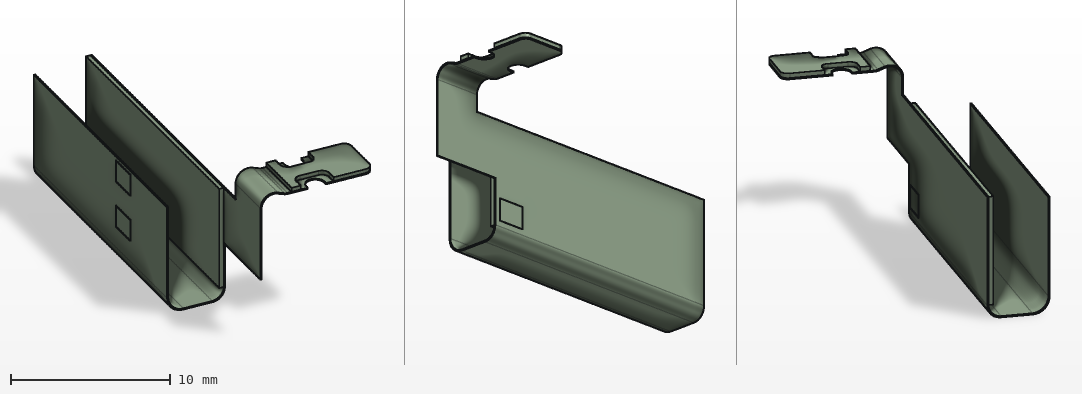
import cadquery as cq
import math

FILM_THICKNESS = 0.1
CHANNEL_LENGTH = 18.52
CHANNEL_WIDTH = 4.07
FRONT_WALL_TOP = 7.7
BACK_WALL_TOP = 8.07
FRONT_BEND_RADIUS = 1.14
BACK_BEND_RADIUS = 0.9
ARM_BOTTOM = 4.07

TAB_START = 20.15
TAB_END = 23.63
TAB_TIP = 11.85
CORNER_RADIUS = 0.5
WAIST_Y = 7.93
NOTCH_WIDTH = 1.28
NOTCH_DEPTH = 0.88

CREST_TOP = 10.14
CREST_RADIUS = 0.9
RAMP_ANGLE = math.radians(20)
RAMP_FOOT_RADIUS = 0.62

STIFFENER_THICKNESS = 0.3
WALL_STIFFENER_BOTTOM = BACK_BEND_RADIUS
TAB_STIFFENER_TOP = 10.18
TAB_STIFFENER_LENGTH = 5.7
TAB_STIFFENER_END = 23.68
RECESS_WIDTH = 2.3
RECESS_DEPTH = 1.14

PAD_LENGTH = 2.01
PAD_HEIGHT = 1.52
PAD_THICKNESS = 0.03
FRONT_PAD_START = 11.44
FRONT_PAD_BOTTOMS = (2.65, 5.92)
BACK_PAD_START = 16.13
BACK_PAD_BOTTOM = 1.28

BACK_WALL_INNER_Y = CHANNEL_WIDTH - FILM_THICKNESS
TAB_TOP = TAB_STIFFENER_TOP - STIFFENER_THICKNESS
TAB_BOTTOM = TAB_TOP - FILM_THICKNESS


def block(x_range, y_range, z_range):
    """Axis-aligned box that spans the three given ranges."""
    low, high = zip(x_range, y_range, z_range)
    size = [end - start for start, end in zip(low, high)]
    return cq.Workplane("XY").box(*size, centered=False).translate(low)


def rounded_trough(y_range, z_range, front_radius, back_radius):
    """Block as long as the channel, with its two lower long edges rounded."""
    body = block((0, CHANNEL_LENGTH), y_range, z_range)
    return body.edges("|X and <Z and <Y").fillet(front_radius).edges("|X and <Z and >Y").fillet(back_radius)


def channel():
    """U-shaped channel with a front wall lower than its back wall."""
    outside = rounded_trough((0, CHANNEL_WIDTH), (0, BACK_WALL_TOP), FRONT_BEND_RADIUS, BACK_BEND_RADIUS)
    inside = rounded_trough(
        (FILM_THICKNESS, BACK_WALL_INNER_Y),
        (FILM_THICKNESS, BACK_WALL_TOP),
        FRONT_BEND_RADIUS - FILM_THICKNESS,
        BACK_BEND_RADIUS - FILM_THICKNESS,
    )
    above_front_wall = block((0, CHANNEL_LENGTH), (0, FILM_THICKNESS), (FRONT_WALL_TOP, BACK_WALL_TOP))
    return outside.cut(inside).cut(above_front_wall)


def arm():
    """Flat extension of the back wall beyond the channel."""
    return block((CHANNEL_LENGTH, TAB_END), (BACK_WALL_INNER_Y, CHANNEL_WIDTH), (ARM_BOTTOM, BACK_WALL_TOP))


def bent_strip():
    """Strip that rises from the arm, turns over and runs flat to the tip of the tab."""
    half_thickness = FILM_THICKNESS / 2
    wall_y = BACK_WALL_INNER_Y + half_thickness
    crest_z = CREST_TOP - half_thickness
    tab_z = TAB_BOTTOM + half_thickness

    crest_radius = CREST_RADIUS - half_thickness
    foot_radius = RAMP_FOOT_RADIUS + half_thickness
    bend_drop = (crest_radius + foot_radius) * (1 - math.cos(RAMP_ANGLE))
    ramp_run = (crest_z - tab_z - bend_drop) / math.tan(RAMP_ANGLE)

    bend_start_z = crest_z - crest_radius
    ramp_top_y = wall_y + crest_radius * (1 + math.sin(RAMP_ANGLE))
    ramp_top_z = bend_start_z + crest_radius * math.cos(RAMP_ANGLE)
    ramp_foot_y = ramp_top_y + ramp_run
    ramp_foot_z = tab_z + foot_radius * (1 - math.cos(RAMP_ANGLE))
    flat_start_y = ramp_foot_y + foot_radius * math.sin(RAMP_ANGLE)

    middle_line = (
        cq.Workplane("YZ")
        .moveTo(wall_y, BACK_WALL_TOP)
        .lineTo(wall_y, bend_start_z)
        .tangentArcPoint((wall_y + crest_radius, crest_z), relative=False)
        .tangentArcPoint((ramp_top_y, ramp_top_z), relative=False)
        .lineTo(ramp_foot_y, ramp_foot_z)
        .tangentArcPoint((flat_start_y, tab_z), relative=False)
        .lineTo(TAB_TIP, tab_z)
    )
    middle_x = (TAB_START + TAB_END) / 2
    section = cq.Workplane("XY", origin=(middle_x, wall_y, BACK_WALL_TOP))
    strip = section.rect(TAB_END - TAB_START, FILM_THICKNESS).sweep(middle_line)
    return strip.edges("|Z and >Y").fillet(CORNER_RADIUS)


def tab_notches():
    """Two round-ended slots that run into the tab from its sides."""
    slot_length = 2 * NOTCH_DEPTH
    return (
        cq.Workplane("XY", origin=(0, 0, TAB_BOTTOM))
        .pushPoints([(TAB_START, WAIST_Y), (TAB_END, WAIST_Y)])
        .slot2D(slot_length, NOTCH_WIDTH)
        .extrude(FILM_THICKNESS)
    )


def pad(start_x, y_range, bottom_z):
    """Thin rectangular contact pad."""
    return block((start_x, start_x + PAD_LENGTH), y_range, (bottom_z, bottom_z + PAD_HEIGHT))


def make_film():
    """Channel, arm and tab of the film, with the contact pads on its outer faces."""
    film = channel().union(arm()).union(bent_strip()).cut(tab_notches())
    for bottom_z in FRONT_PAD_BOTTOMS:
        film = film.union(pad(FRONT_PAD_START, (-PAD_THICKNESS, 0), bottom_z))
    return film.union(pad(BACK_PAD_START, (CHANNEL_WIDTH, CHANNEL_WIDTH + PAD_THICKNESS), BACK_PAD_BOTTOM))


def make_wall_stiffener():
    """Plate on the inner face of the back wall."""
    return block(
        (0, CHANNEL_LENGTH),
        (BACK_WALL_INNER_Y - STIFFENER_THICKNESS, BACK_WALL_INNER_Y),
        (WALL_STIFFENER_BOTTOM, BACK_WALL_TOP),
    )


def make_tab_stiffener():
    """Plate on top of the tab, recessed on both sides around the notches."""
    z_range = (TAB_TOP, TAB_STIFFENER_TOP)
    plate = block((TAB_START, TAB_STIFFENER_END), (TAB_TIP - TAB_STIFFENER_LENGTH, TAB_TIP), z_range)
    plate = plate.edges("|Z and >Y").fillet(CORNER_RADIUS)
    recess_y_range = (WAIST_Y - RECESS_WIDTH / 2, WAIST_Y + RECESS_WIDTH / 2)
    for side_x in (TAB_START, TAB_STIFFENER_END):
        recess = block((side_x - RECESS_DEPTH, side_x + RECESS_DEPTH), recess_y_range, z_range)
        plate = plate.cut(recess.edges("|Z").fillet(CORNER_RADIUS))
    return plate


film = make_film()
wall_stiffener = make_wall_stiffener()
tab_stiffener = make_tab_stiffener()

result = cq.Compound.makeCompound([film.val(), wall_stiffener.val(), tab_stiffener.val()])